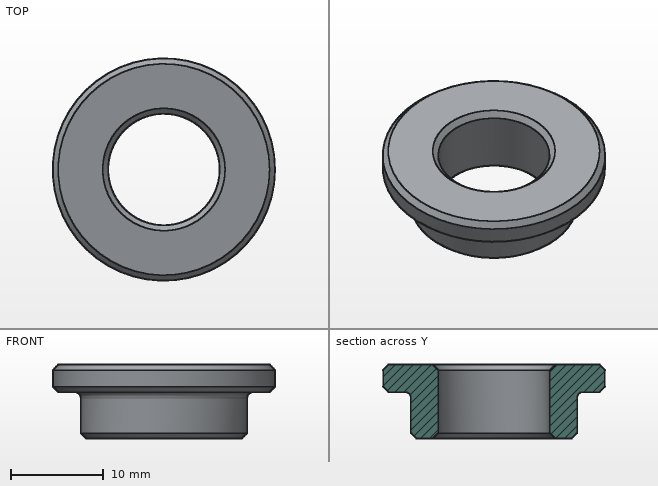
import cadquery as cq

flange_diameter = 24
sleeve_diameter = 18
bore_diameter = 12
total_height = 8.0
flange_thickness = 3.0
edge_chamfer = 0.6
neck_fillet = 0.6

flange_radius = flange_diameter / 2
sleeve_radius = sleeve_diameter / 2
bore_radius = bore_diameter / 2
sleeve_height = total_height - flange_thickness

section = (
    cq.Workplane("XZ")
    .moveTo(bore_radius + edge_chamfer, 0)
    .lineTo(sleeve_radius - edge_chamfer, 0)
    .lineTo(sleeve_radius, edge_chamfer)
    .lineTo(sleeve_radius, sleeve_height - neck_fillet)
    .radiusArc((sleeve_radius + neck_fillet, sleeve_height), neck_fillet)
    .lineTo(flange_radius - edge_chamfer, sleeve_height)
    .lineTo(flange_radius, sleeve_height + edge_chamfer)
    .lineTo(flange_radius, total_height - edge_chamfer)
    .lineTo(flange_radius - edge_chamfer, total_height)
    .lineTo(bore_radius + edge_chamfer, total_height)
    .lineTo(bore_radius, total_height - edge_chamfer)
    .lineTo(bore_radius, edge_chamfer)
    .close()
)

result = section.revolve(360, (0, 0, 0), (0, 1, 0))